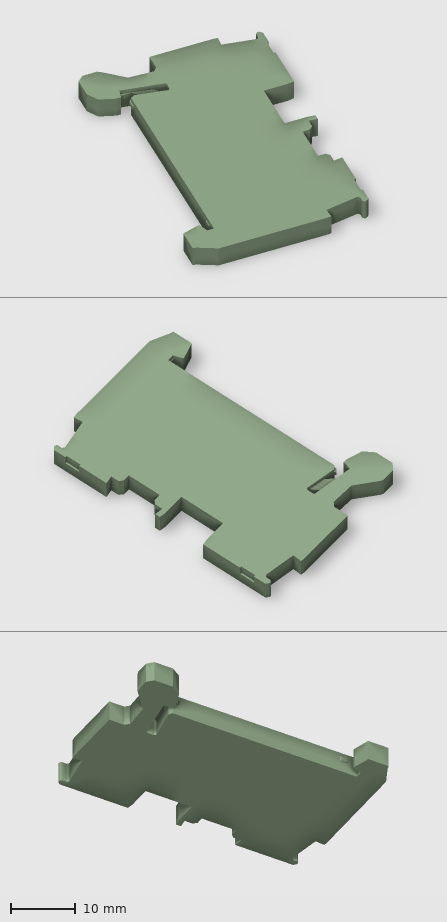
import cadquery as cq

length = 45.0
height = 30.6
thickness = 3.5
centre_x = length / 2
overlap = 0.9

shoulder_y = 12.3
rail_y = 5.95

slot_left_x = 6.7
slot_right_x = 8.25
slot_corner = 0.25
slot_lean = 0.15

arm_root_x = 2.65
arm_left_x = 3.35
arm_bevel = 0.68
spring_toe_x = 6.95

fixed_foot_y = 1.12
claw_tip_x = 38.9
claw_wall_x = 40.45

hook_start_x = 1.65
hook_tip_x = 1.2
hook_base_x = 1.5
hook_tip_top_depth = 0.5
hook_tip_base_depth = 0.8
hook_depth = 1.1
flank_top_x = 2.65
flank_foot_x = 1.7
flank_foot_y = 23.6
flank_lip_x = 0.1
flank_lip_y = 23.7
flank_lip_base_y = 23.1

pocket_left = 14.1
pocket_right = 22.28
pocket_floor_y = height - 5.15
pocket_flare = 0.2
pocket_flare_depth = 1.15

step_floor_left = 25.15
step_floor_right = 31.25
step_centre_x = (step_floor_left + step_floor_right) / 2
step_half_floor = (step_floor_right - step_floor_left) / 2
step_half_mouth = 4.8
step_half_top = 5.05
step_ledge_depth = 1.5
step_floor_depth = 3.35
step_bevel = 0.6

recess_left_xs = (3.9, 38.4)
recess_length = 2.7
recess_depth = 0.3

strip_bottom_z = 2.0
strip_top_z = 2.75
tab_edge_y = rail_y - 0.2
foot_pad_x = 5.75
foot_pad_top_y = 6.85
bridge_end_x = 8.55


def prism(points, bottom=0.0, top=thickness):
    """Closed XY polygon extruded from one Z level to another."""
    return cq.Workplane("XY").workplane(offset=bottom).polyline(points).close().extrude(top - bottom)


def body_blank():
    return prism([
        (0, height),
        (length, height),
        (length, rail_y),
        (7.65, rail_y),
        (7.25, 6.6),
        (8.15, 11.6),
        (slot_right_x, shoulder_y - slot_corner),
        (slot_right_x - slot_corner, shoulder_y),
        (0, shoulder_y),
    ])


def flank_notch():
    throat_y = height - hook_depth
    throat_bevel = 0.3
    return (
        cq.Workplane("XY")
        .moveTo(-overlap, height + overlap)
        .lineTo(hook_start_x, height + overlap)
        .lineTo(hook_start_x, height)
        .lineTo(hook_tip_x, height - hook_tip_top_depth)
        .lineTo(hook_tip_x, height - hook_tip_base_depth)
        .lineTo(hook_base_x, throat_y)
        .lineTo(flank_top_x - throat_bevel, throat_y)
        .lineTo(flank_top_x, throat_y - throat_bevel)
        .lineTo(flank_foot_x, flank_foot_y)
        .lineTo(flank_lip_x, flank_lip_y)
        .lineTo(0, flank_lip_base_y)
        .lineTo(-overlap, flank_lip_base_y)
        .close()
        .extrude(thickness)
    )


def deep_pocket():
    flare_y = height - pocket_flare_depth
    return prism([
        (pocket_left, pocket_floor_y),
        (pocket_left, flare_y),
        (pocket_left - pocket_flare, height),
        (pocket_right + pocket_flare, height),
        (pocket_right, flare_y),
        (pocket_right, pocket_floor_y),
    ])


def stepped_pocket():
    ledge_y = height - step_ledge_depth
    floor_y = height - step_floor_depth
    right_half = [
        (step_half_floor, floor_y),
        (step_half_floor, ledge_y - step_bevel),
        (step_half_floor + step_bevel, ledge_y),
        (step_half_top, ledge_y),
        (step_half_mouth, height),
    ]
    right = [(step_centre_x + x, y) for x, y in right_half]
    left = [(step_centre_x - x, y) for x, y in reversed(right_half)]
    return prism(right + left)


def label_recess(left_x):
    """Shallow recess in the upper edge, open at the top face."""
    return prism([
        (left_x, height),
        (left_x + recess_length, height),
        (left_x + recess_length, height - recess_depth),
        (left_x, height - recess_depth),
    ], bottom=strip_bottom_z)


def spring_foot():
    """Flexible foot on the left, separated from the body by the slanted slot."""
    return prism([
        (arm_root_x, shoulder_y),
        (arm_left_x, shoulder_y - arm_bevel),
        (3.15, 7.4),
        (0.22, 3.9),
        (0, 3.45),
        (0, 1.05),
        (0.95, 0),
        (4.25, 0),
        (6.05, 1.15),
        (spring_toe_x, 3.82),
        (spring_toe_x, 4.6),
        (5.4, 4.95),
        (slot_left_x - slot_lean, shoulder_y - slot_corner),
        (slot_left_x, shoulder_y),
        (slot_left_x, shoulder_y + overlap),
        (arm_root_x, shoulder_y + overlap),
    ])


def fixed_foot():
    """Rigid foot on the right, with its claw pointing inward."""
    return prism([
        (length, rail_y + overlap),
        (length, 4.8),
        (43.5, 1.75),
        (43.35, fixed_foot_y),
        (39.7, fixed_foot_y),
        (claw_tip_x, 3.85),
        (claw_tip_x, 4.25),
        (claw_wall_x, 4.75),
        (claw_wall_x, rail_y + overlap),
    ])


def strip_pieces():
    """Visible stretches of the metal strip; each reaches a little into the plastic."""
    bridge = [
        (6.4, 10.3),
        (8.1, 11.55),
        (bridge_end_x, 11.55),
        (bridge_end_x, 8.55),
        (7.55, 8.55),
        (foot_pad_x, foot_pad_top_y),
        (5.62, foot_pad_top_y),
    ]
    spring_foot_pad = [
        (foot_pad_x, foot_pad_top_y),
        (foot_pad_x, 4.72),
        (5.18, 4.72),
        (5.18, foot_pad_top_y),
    ]
    left_tab = [
        (7.35, 6.55),
        (6.98, 6.35),
        (7.45, tab_edge_y),
        (8.5, tab_edge_y),
        (8.8, rail_y),
        (8.8, 6.55),
    ]
    right_tab = [
        (37.4, rail_y),
        (37.6, tab_edge_y),
        (38.65, tab_edge_y),
        (38.9, rail_y),
        (38.9, rail_y + overlap),
        (37.4, rail_y + overlap),
    ]
    fixed_foot_pad = [
        (40.28, rail_y),
        (40.28, 4.65),
        (40.72, 4.65),
        (40.72, rail_y),
    ]
    outlines = (bridge, spring_foot_pad, left_tab, right_tab, fixed_foot_pad)
    return [prism(outline, strip_bottom_z, strip_top_z) for outline in outlines]


left_notch = flank_notch()
right_notch = left_notch.mirror("YZ", (centre_x, 0, 0))

result = body_blank().cut(left_notch).cut(right_notch)
result = result.cut(deep_pocket()).cut(stepped_pocket())
for recess_x in recess_left_xs:
    result = result.cut(label_recess(recess_x))

result = result.union(spring_foot()).union(fixed_foot())
for piece in strip_pieces():
    result = result.union(piece)